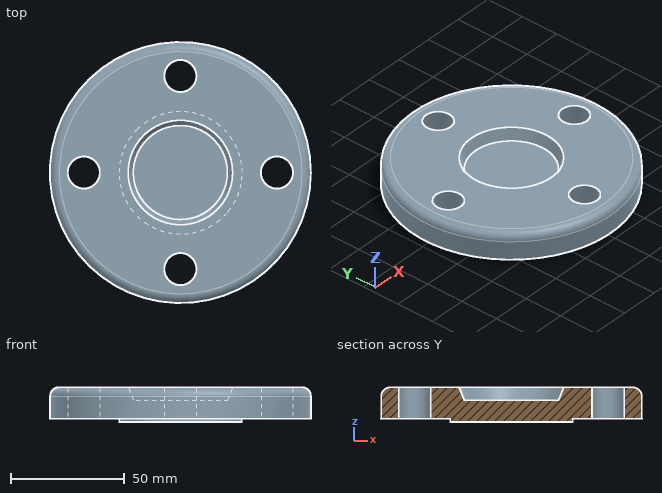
import cadquery as cq

flange_diameter = 115.0
flange_thickness = 14.0
rim_fillet = 4.1

total_height = 15.4
face_diameter = 54.0
face_height = total_height - flange_thickness

hole_diameter = 14.0
hole_circle_diameter = 85.0
hole_count = 4

recess_top_diameter = 46.0
recess_floor_diameter = 41.4
recess_depth = 5.8


def make_flange():
    """Round plate with its underside at Z = 0 and a rounded upper rim."""
    plate = cq.Workplane("XY").circle(flange_diameter / 2).extrude(flange_thickness)
    return plate.faces(">Z").edges().fillet(rim_fillet)


def make_raised_face():
    """Shallow disc projecting below the plate."""
    return cq.Workplane("XY").circle(face_diameter / 2).extrude(-face_height)


def make_bolt_holes():
    """Cutters for the through holes, the first one on the +X axis."""
    return (
        cq.Workplane("XY")
        .polarArray(hole_circle_diameter / 2, 0, 360, hole_count)
        .circle(hole_diameter / 2)
        .extrude(flange_thickness)
    )


def make_recess():
    """Cone cutter that narrows from the top surface to a flat floor."""
    return (
        cq.Workplane("XY", origin=(0, 0, flange_thickness - recess_depth))
        .circle(recess_floor_diameter / 2)
        .workplane(offset=recess_depth)
        .circle(recess_top_diameter / 2)
        .loft(ruled=True)
    )


result = make_flange().union(make_raised_face()).cut(make_bolt_holes()).cut(make_recess())